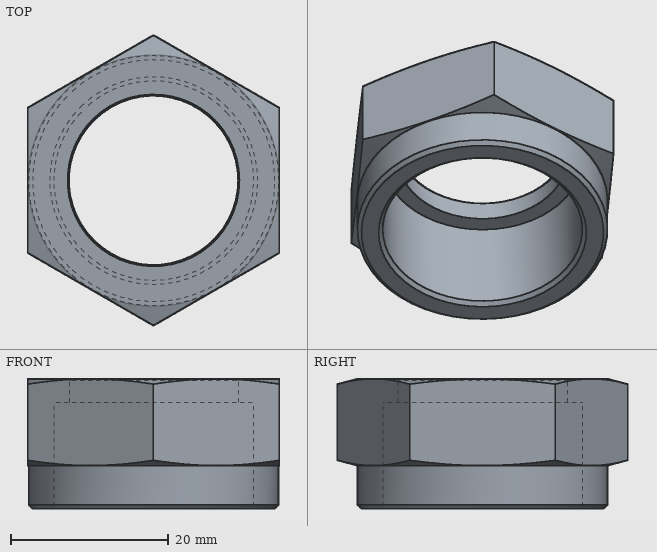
import cadquery as cq
import math

across_corners = 36.95
across_flats = across_corners * math.cos(math.pi / 6)
head_height = 11.0
corner_chamfer_angle = 15.0

collar_diameter = 31.8
collar_height = 5.5
collar_chamfer = 0.5
total_height = collar_height + head_height

opening_diameter = 21.5
opening_chamfer = 0.2
lip_thickness = 3.0
counterbore_diameter = 25.4
counterbore_chamfer = 0.5


def make_head():
    """Hexagonal prism with its corners turned off conically at both ends."""
    prism = (
        cq.Workplane("XY", origin=(0, 0, collar_height))
        .polygon(6, across_corners)
        .extrude(head_height)
        .rotate((0, 0, 0), (0, 0, 1), 30)
    )
    face_radius = across_flats / 2
    corner_radius = across_corners / 2
    corner_drop = (corner_radius - face_radius) * math.tan(math.radians(corner_chamfer_angle))
    turned_blank = (
        cq.Workplane("XZ")
        .moveTo(0, collar_height)
        .lineTo(face_radius, collar_height)
        .lineTo(corner_radius, collar_height + corner_drop)
        .lineTo(corner_radius, total_height - corner_drop)
        .lineTo(face_radius, total_height)
        .lineTo(0, total_height)
        .close()
        .revolve(360, (0, 0, 0), (0, 1, 0))
    )
    return prism.intersect(turned_blank)


def make_collar():
    """Round collar with a chamfered lower rim."""
    return (
        cq.Workplane("XY")
        .circle(collar_diameter / 2)
        .extrude(collar_height)
        .faces("<Z")
        .edges()
        .chamfer(collar_chamfer)
    )


def make_bore():
    """Stepped through bore with a chamfer at each end, revolved from its half section."""
    opening_radius = opening_diameter / 2
    counterbore_radius = counterbore_diameter / 2
    lip_underside = total_height - lip_thickness
    return (
        cq.Workplane("XZ")
        .moveTo(0, 0)
        .lineTo(counterbore_radius + counterbore_chamfer, 0)
        .lineTo(counterbore_radius, counterbore_chamfer)
        .lineTo(counterbore_radius, lip_underside)
        .lineTo(opening_radius, lip_underside)
        .lineTo(opening_radius, total_height - opening_chamfer)
        .lineTo(opening_radius + opening_chamfer, total_height)
        .lineTo(0, total_height)
        .close()
        .revolve(360, (0, 0, 0), (0, 1, 0))
    )


result = make_head().union(make_collar()).cut(make_bore())